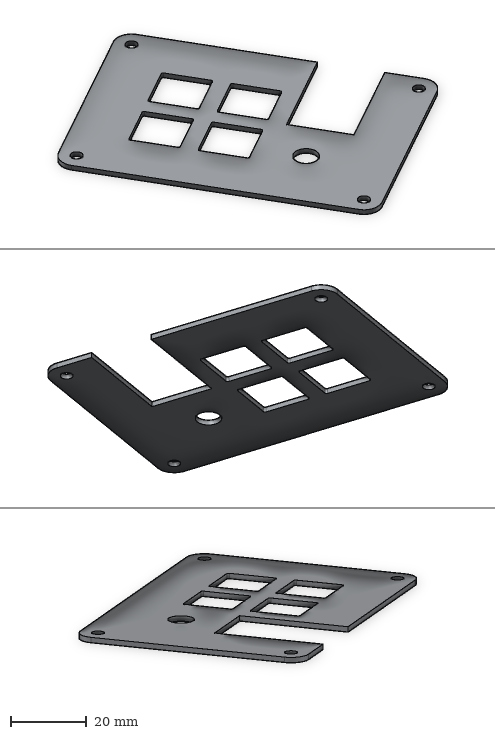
import cadquery as cq

length = 88.7
width = 64.6
thickness = 1.5
corner_radius = 5.0

mount_hole_diameter = 3.4
mount_spacing_x = length - 2 * corner_radius
mount_spacing_y = width - 2 * corner_radius

window_side = 14.0
window_corner_radius = 0.5
window_pitch = 19.0
window_grid_x = -11.6

notch_x = 19.4
notch_width = 18.45
notch_depth = 30.7

round_hole_diameter = 7.0
round_hole_x = 19.2
round_hole_y = -11.5


def make_plate():
    """Flat plate with rounded corners, resting on Z = 0."""
    plate = cq.Workplane("XY").rect(length, width).extrude(thickness)
    return plate.edges("|Z").fillet(corner_radius)


def make_mount_holes():
    """Cutting cylinders for the four corner holes."""
    pattern = cq.Workplane("XY").rect(mount_spacing_x, mount_spacing_y, forConstruction=True)
    return pattern.vertices().circle(mount_hole_diameter / 2).extrude(thickness)


def make_windows():
    """Cutting blocks for the square windows, with slightly rounded corners."""
    grid = cq.Workplane("XY").center(window_grid_x, 0).rarray(window_pitch, window_pitch, 2, 2)
    blocks = grid.rect(window_side, window_side).extrude(thickness)
    return blocks.edges("|Z").fillet(window_corner_radius)


def make_notch():
    """Cutting block for the notch, reaching in from the +Y edge."""
    notch_y = (width - notch_depth) / 2
    return cq.Workplane("XY").center(notch_x, notch_y).rect(notch_width, notch_depth).extrude(thickness)


def make_round_hole():
    """Cutting cylinder for the single round opening."""
    center = cq.Workplane("XY").center(round_hole_x, round_hole_y)
    return center.circle(round_hole_diameter / 2).extrude(thickness)


result = make_plate()
for cutter in (make_mount_holes(), make_windows(), make_notch(), make_round_hole()):
    result = result.cut(cutter)